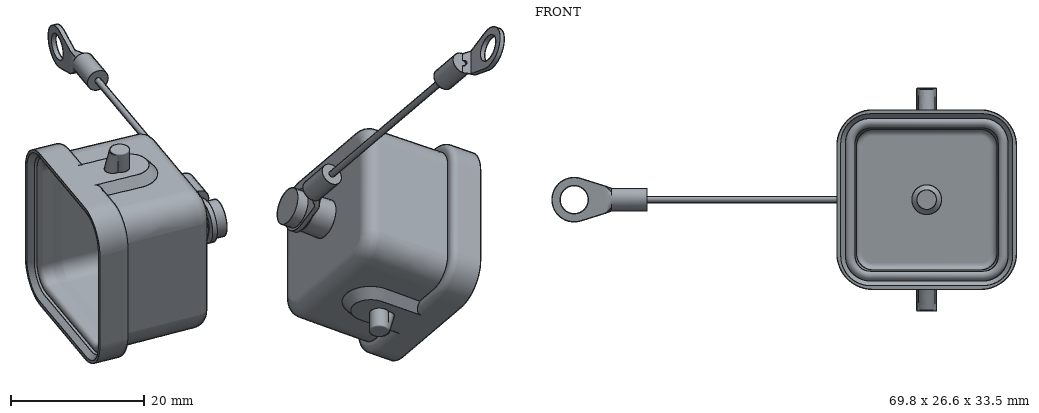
import cadquery as cq
import math


total_length = 69.75

collar_width = 27.0
collar_half = collar_width / 2
collar_corner = 5.45
collar_depth = 4.95
collar_round = 1.0
body_half = 12.05
body_corner = body_half - collar_half + collar_corner
body_depth = 19.1
body_draft = 0.5
back_round = 2.1

cavity_half = 10.5
cavity_corner = 2.45
floor_y = 17.5
floor_round = 1.0
throat_half = 10.75
throat_corner = 2.3
throat_end_y = 3.35
throat_slope_end_y = 4.8
mouth_half = 12.9
seat_half = 12.2
seat_depth = 1.8
mouth_depth = 0.9
seat_corner = throat_corner + seat_half - throat_half
mouth_corner = seat_corner + mouth_half - seat_half
bead_radius = (seat_half - throat_half) / 2

boss_base_radius = 2.2
boss_tip_radius = 1.45
boss_height = boss_base_radius - boss_tip_radius

pad_start_y = 2.8
pad_arc_y = 10.95
pad_top_half = 3.0
pad_thickness = 1.75
pad_slope = 40
pin_y = 9.4
pin_diameter = 3.0
pin_radius = pin_diameter / 2
pin_tip_z = 16.75
pin_edge_round = 0.2
brace_radius = 1.25
brace_base_y = 8.2
brace_tip_y = 9.1

head_diameter = 5.8
head_radius = head_diameter / 2
stud_base_radius = 3.1
stud_tip_radius = head_radius
stud_end_y = 22.75
neck_radius = 2.1
head_end_y = 25.8
stud_root = 0.7

ring_radius = 3.35
terminal_y = 23.2
plate_thickness = 0.8
plate_length = 4.75
plate_end_half = 2.0
barrel_diameter = 3.4
barrel_radius = barrel_diameter / 2
barrel_start = 5.6
barrel_end = 10.95
cable_radius = 0.5
far_ring_x = collar_half + ring_radius - total_length
barrel_y = terminal_y + barrel_radius


def across(y):
    """Workplane at height y whose normal points to +Y."""
    return cq.Workplane(cq.Plane(origin=(0, y, 0), xDir=(1, 0, 0), normal=(0, 1, 0)))


def rounded_square(half, corner):
    return cq.Sketch().rect(2 * half, 2 * half).vertices().fillet(corner)


def square_block(half, corner, y_start, y_end, draft=0):
    profile = rounded_square(half, corner)
    return across(y_start).placeSketch(profile).extrude(y_end - y_start, taper=draft)


def disc(radius, y_start, y_end):
    return across(y_start).circle(radius).extrude(y_end - y_start)


def cone(radius_start, radius_end, y_start, y_end):
    start = across(y_start).circle(radius_start)
    return start.workplane(offset=y_end - y_start).circle(radius_end).loft()


def make_shell():
    body = square_block(body_half, body_corner, 0, body_depth, body_draft)
    body = body.faces(">Y").edges().fillet(back_round)
    collar = square_block(collar_half, collar_corner, 0, collar_depth)
    collar = collar.faces(">Y").edges().fillet(collar_round)
    return body.union(collar)


def make_cavity():
    pocket = square_block(cavity_half, cavity_corner, 0, floor_y)
    pocket = pocket.faces(">Y").edges().fillet(floor_round)
    throat = square_block(throat_half, throat_corner, 0, throat_end_y)
    slope_start = rounded_square(throat_half, throat_corner)
    slope_shift = cq.Location((0, 0, throat_slope_end_y - throat_end_y))
    slope_end = rounded_square(cavity_half, cavity_corner).moved(slope_shift)
    slope = across(throat_end_y).placeSketch(slope_start, slope_end).loft()
    seat = square_block(seat_half, seat_corner, 0, seat_depth)
    mouth_draft = math.degrees(math.atan2(mouth_half - seat_half, mouth_depth))
    mouth = square_block(mouth_half, mouth_corner, 0, mouth_depth, mouth_draft)
    return pocket.union(throat).union(slope).union(seat).union(mouth)


def make_bead():
    """Half-round bead standing on the seal seat."""
    path_half = seat_half - bead_radius
    path_corner = throat_corner + bead_radius
    path = square_block(path_half, path_corner, seat_depth, floor_y).faces("<Y").wires()
    profile = (
        cq.Workplane("YZ", origin=(0, seat_depth, path_half))
        .moveTo(0, bead_radius)
        .threePointArc((-bead_radius, 0), (0, -bead_radius))
        .close()
    )
    return profile.sweep(path)


def make_floor_boss():
    return cone(boss_tip_radius, boss_base_radius, floor_y - boss_height, floor_y)


def make_locking_pin():
    """Pad and braced pin on the +Z side."""
    top = cq.Workplane("XY", origin=(0, 0, collar_half))
    pad = (
        top.moveTo(-pad_top_half, pad_start_y)
        .lineTo(pad_top_half, pad_start_y)
        .lineTo(pad_top_half, pad_arc_y)
        .threePointArc((0, pad_arc_y + pad_top_half), (-pad_top_half, pad_arc_y))
        .close()
        .extrude(-pad_thickness, taper=-pad_slope)
    )
    pin_height = pin_tip_z - collar_half
    pin = top.center(0, pin_y).circle(pin_radius).extrude(pin_height)
    pin = pin.faces(">Z").edges().fillet(pin_edge_round)
    brace = (
        top.center(0, brace_base_y).circle(brace_radius)
        .workplane(offset=pin_height - pin_edge_round)
        .center(0, brace_tip_y - brace_base_y).circle(brace_radius)
        .loft()
    )
    return pad.union(pin).union(brace)


def make_stud():
    base = cone(stud_base_radius, stud_tip_radius, body_depth - stud_root, stud_end_y)
    neck = disc(neck_radius, stud_end_y, head_end_y)
    head = disc(head_radius, terminal_y + plate_thickness, head_end_y)
    return base.union(neck).union(head)


def make_ramp():
    """Neck blending the flat plate into the lower half of the barrel, grooved along the cable axis."""
    diagonal = barrel_radius * math.sqrt(0.5)
    plate_top = terminal_y + plate_thickness - barrel_y
    plate_bottom = terminal_y - barrel_y
    ramp = (
        cq.Workplane("YZ", origin=(plate_length, barrel_y, 0))
        .moveTo(plate_top, -plate_end_half)
        .lineTo(plate_bottom, -plate_end_half)
        .lineTo(plate_bottom, plate_end_half)
        .lineTo(plate_top, plate_end_half)
        .close()
        .workplane(offset=barrel_start - plate_length)
        .moveTo(0, -barrel_radius)
        .radiusArc((-diagonal, -diagonal), barrel_radius)
        .radiusArc((-diagonal, diagonal), barrel_radius)
        .radiusArc((0, barrel_radius), barrel_radius)
        .close()
        .loft()
    )
    groove = (
        cq.Workplane("YZ", origin=(plate_length, barrel_y, 0))
        .circle(cable_radius)
        .extrude(barrel_start - plate_length)
    )
    return ramp.cut(groove)


def make_terminal():
    """Ring terminal with its ring centred on X = 0 and its barrel towards +X."""
    reach = math.hypot(plate_length, plate_end_half)
    tangent_angle = math.atan2(plate_end_half, plate_length) + math.acos(ring_radius / reach)
    tangent_x = ring_radius * math.cos(tangent_angle)
    tangent_z = ring_radius * math.sin(tangent_angle)
    plate = (
        across(terminal_y)
        .moveTo(plate_length, -plate_end_half)
        .lineTo(plate_length, plate_end_half)
        .lineTo(tangent_x, tangent_z)
        .threePointArc((-ring_radius, 0), (tangent_x, -tangent_z))
        .close()
        .extrude(plate_thickness)
    )
    hole = disc(neck_radius, terminal_y, terminal_y + plate_thickness)
    barrel = (
        cq.Workplane("YZ", origin=(barrel_start, barrel_y, 0))
        .circle(barrel_radius)
        .extrude(barrel_end - barrel_start)
    )
    return plate.cut(hole).union(make_ramp()).union(barrel)


def make_cable():
    near_end = -barrel_start
    far_end = far_ring_x + barrel_start
    start = cq.Workplane("YZ", origin=(far_end, barrel_y, 0))
    return start.circle(cable_radius).extrude(near_end - far_end)


pin_top = make_locking_pin()
pin_bottom = pin_top.rotate((0, 0, 0), (0, 1, 0), 180)
far_terminal = make_terminal().translate((far_ring_x, 0, 0))
near_terminal = make_terminal().mirror("YZ")

result = make_shell().union(pin_top).union(pin_bottom)
result = result.cut(make_cavity()).union(make_bead()).union(make_floor_boss())
result = result.union(make_stud()).union(near_terminal).union(far_terminal).union(make_cable())